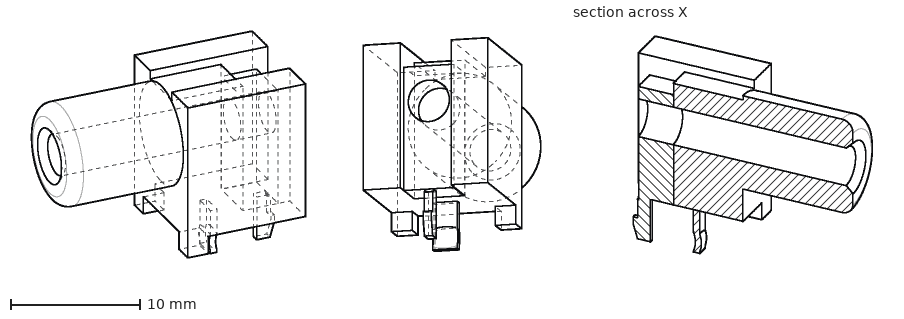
import cadquery as cq


housing_width = 10.0
housing_depth = 10.0
housing_height = 11.5
foot_width = 1.68
foot_depth = 1.74
foot_height = 1.5

barrel_diameter = 8.3
barrel_length = 19.5 - housing_depth
barrel_fillet = 0.98
barrel_center_z = housing_height - 4.5
bore_diameter = 3.3
bore_mouth_diameter = 4.48
bore_chamfer_depth = (bore_mouth_diameter - bore_diameter) / 2

insert_width = 4.02
insert_thickness = 3.0
insert_setback = 1.0
insert_back_y = housing_depth - insert_setback
insert_front_y = insert_back_y - insert_thickness

channel_depth = 0.72
insert_drop = 1.0
insert_gap = 0.05
channel_right = insert_width / 2
channel_left = -insert_width / 2 - insert_gap
channel_width = channel_right - channel_left
insert_height = housing_height - channel_depth - insert_drop

leg_length = 15.25 - housing_height
latch_width = 0.66
latch_back_y = housing_depth - 0.9
latch_front_y = housing_depth - 2.03
latch_neck_depth = 0.12
latch_neck_height = 0.23
hook_reach = 0.35
hook_top_z = -1.85
hook_taper_z = -2.57

pin_width = 1.99
pin_thickness = 0.57
pin_front_y = 3.72
bend_center_z = -2.8
bend_half_height = 0.84
bend_sag = 0.165
bend_side_radius = 8.38
bend_root = 0.2


def box(x_min, y_min, z_min, x_size, y_size, z_size):
    """Box placed by its minimum corner."""
    return cq.Workplane("XY").box(x_size, y_size, z_size, centered=False).translate((x_min, y_min, z_min))


def make_bore():
    """Straight bore through the whole connector, with a conical mouth in the barrel end."""
    bore_radius = bore_diameter / 2
    mouth_end_y = bore_chamfer_depth - barrel_length
    profile = cq.Workplane("XY").polyline([
        (0, -barrel_length),
        (bore_mouth_diameter / 2, -barrel_length),
        (bore_radius, mouth_end_y),
        (bore_radius, housing_depth),
        (0, housing_depth),
    ]).close()
    return profile.revolve(360, (0, 0, 0), (0, 1, 0)).translate((0, 0, barrel_center_z))


def make_housing():
    """Housing block with two front feet, channel, rear bay and rounded barrel."""
    half_width = housing_width / 2
    body = box(-half_width, 0, 0, housing_width, housing_depth, housing_height)
    for foot_x in (-half_width, half_width - foot_width):
        body = body.union(box(foot_x, 0, -foot_height, foot_width, foot_depth, foot_height))

    channel_floor = housing_height - channel_depth
    body = body.cut(box(channel_left, 0, channel_floor, channel_width, housing_depth, channel_depth))
    bay_depth = housing_depth - insert_front_y
    body = body.cut(box(channel_left, insert_front_y, 0, channel_width, bay_depth, housing_height))

    barrel = (
        cq.Workplane("XZ")
        .center(0, barrel_center_z)
        .circle(barrel_diameter / 2)
        .extrude(barrel_length)
        .faces("<Y")
        .edges()
        .fillet(barrel_fillet)
    )
    return body.union(barrel).cut(make_bore())


def make_insert():
    """Insert that fills the rear bay, with a hooked latch leg below it."""
    block = box(-insert_width / 2, insert_front_y, 0, insert_width, insert_thickness, insert_height)
    neck_y = latch_back_y - latch_neck_depth
    hook_y = latch_back_y + hook_reach
    latch = (
        cq.Workplane("YZ")
        .polyline([
            (latch_front_y, 0),
            (neck_y, 0),
            (neck_y, -latch_neck_height),
            (latch_back_y, -latch_neck_height),
            (latch_back_y, hook_top_z),
            (hook_y, hook_top_z),
            (hook_y, hook_taper_z),
            (latch_back_y, -leg_length),
            (latch_front_y, -leg_length),
        ])
        .close()
        .extrude(latch_width / 2, both=True)
    )
    return block.union(latch).cut(make_bore())


def make_bend(face_y):
    """Domed bulge standing out toward -Y from the plane Y = face_y, kept to the pin width."""
    bottom_z = bend_center_z - bend_half_height
    top_z = bend_center_z + bend_half_height
    axis_y = face_y - bend_sag + bend_side_radius
    dome = (
        cq.Workplane("YZ")
        .moveTo(face_y + bend_root, bottom_z)
        .lineTo(face_y, bottom_z)
        .threePointArc((face_y - bend_sag, bend_center_z), (face_y, top_z))
        .lineTo(face_y + bend_root, top_z)
        .close()
        .revolve(360, (axis_y, 0, 0), (axis_y, 1, 0))
    )
    bend_depth = bend_sag + bend_root
    limits = box(-pin_width / 2, face_y - bend_sag, bottom_z, pin_width, bend_depth, top_z - bottom_z)
    return dome.intersect(limits)


def make_front_pin():
    """Flat pin under the housing, bent toward the front near its tip."""
    pin = box(-pin_width / 2, pin_front_y, -leg_length, pin_width, pin_thickness, leg_length)
    pin = pin.union(make_bend(pin_front_y))
    return pin.cut(make_bend(pin_front_y + pin_thickness))


housing = make_housing()
rear_insert = make_insert()
front_pin = make_front_pin()

result = cq.Compound.makeCompound([housing.val(), rear_insert.val(), front_pin.val()])